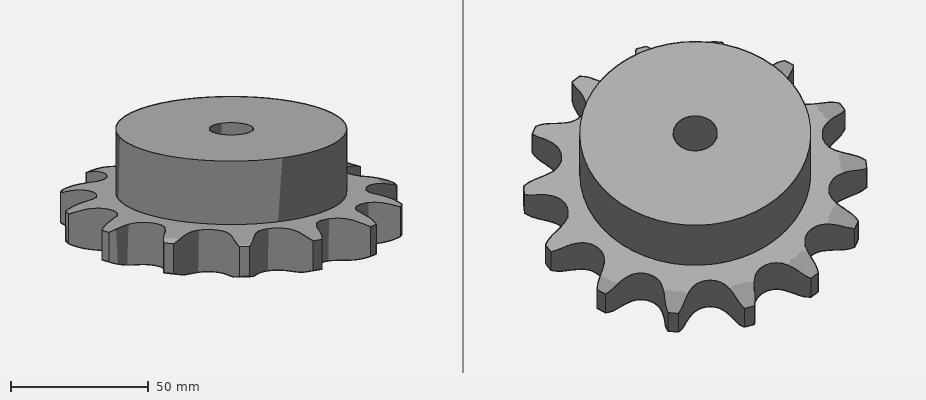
import cadquery as cq
import math


tooth_count = 14
roller_diameter = 15.9
chain_pitch = 1.6 * roller_diameter
seating_clearance = 0.076
tip_diameter = 125.0
rim_width = 16.0
bevel_start_radius = 51.5
tip_bevel_depth = 2.4
hub_diameter = 84.0
total_height = 40.0
bore_diameter = 16.0

tip_radius = tip_diameter / 2
tooth_angle = 360 / tooth_count
half_tooth = math.radians(tooth_angle / 2)
pitch_radius = chain_pitch / 2 / math.sin(half_tooth)


def polar(center, radius, angle):
    """Point at a distance and angle (radians) from a centre."""
    return (center[0] + radius * math.cos(angle), center[1] + radius * math.sin(angle))


def mirrored(point):
    """Reflection of a point across the centre line of the tooth gap."""
    return (-point[0], point[1])


def rim_blank():
    """Disc whose faces curve toward each other near the tooth tips."""
    bevel_reach = tip_radius - bevel_start_radius
    bevel_radius = (bevel_reach**2 + tip_bevel_depth**2) / (2 * tip_bevel_depth)
    half_sweep = math.asin(bevel_reach / bevel_radius) / 2
    mid_radius = bevel_start_radius + bevel_radius * math.sin(half_sweep)
    mid_depth = bevel_radius * (1 - math.cos(half_sweep))
    return (
        cq.Workplane("XZ")
        .lineTo(bevel_start_radius, 0)
        .threePointArc((mid_radius, mid_depth), (tip_radius, tip_bevel_depth))
        .lineTo(tip_radius, rim_width - tip_bevel_depth)
        .threePointArc((mid_radius, rim_width - mid_depth), (bevel_start_radius, rim_width))
        .lineTo(0, rim_width)
        .close()
        .revolve(360, (0, 0, 0), (0, 1, 0))
    )


def tooth_gap():
    """Cutter for one gap, in the ASA roller-chain form, centred on the +Y axis."""
    seating_angle = math.radians(35 + 60 / tooth_count)
    working_angle = math.radians(18 - 56 / tooth_count)
    topping_angle = math.radians(17 - 64 / tooth_count)
    seating_radius = (1.005 * roller_diameter + seating_clearance) / 2
    working_offset = 0.8 * roller_diameter
    working_radius = seating_radius + working_offset
    topping_offset = 1.4 * roller_diameter
    flank_length = topping_offset * math.sin(topping_angle) - working_offset * math.sin(working_angle)
    topping_radius = (
        working_offset * math.cos(working_angle)
        + topping_offset * math.cos(topping_angle)
        - working_radius
    )

    roller_center = (0, pitch_radius)
    working_center = polar(roller_center, working_offset, math.pi - seating_angle)
    topping_center = polar(roller_center, topping_offset, -half_tooth)

    root = polar(roller_center, seating_radius, -math.pi / 2)
    seating_mid = polar(roller_center, seating_radius, -(math.pi / 2 + seating_angle) / 2)
    seating_end = polar(roller_center, seating_radius, -seating_angle)
    working_mid = polar(working_center, working_radius, working_angle / 2 - seating_angle)
    flank_normal = working_angle - seating_angle
    working_end = polar(working_center, working_radius, flank_normal)
    flank_end = polar(working_end, flank_length, flank_normal + math.pi / 2)
    topping_start_angle = math.pi + flank_normal
    tip_sweep = math.acos((topping_offset - chain_pitch / 2) / topping_radius)
    topping_end_angle = math.pi - half_tooth - tip_sweep
    topping_mid = polar(topping_center, topping_radius, (topping_start_angle + topping_end_angle) / 2)
    pointed_tip = polar(topping_center, topping_radius, topping_end_angle)

    return (
        cq.Workplane("XY")
        .moveTo(*root)
        .threePointArc(seating_mid, seating_end)
        .threePointArc(working_mid, working_end)
        .lineTo(*flank_end)
        .threePointArc(topping_mid, pointed_tip)
        .lineTo(*mirrored(pointed_tip))
        .threePointArc(mirrored(topping_mid), mirrored(flank_end))
        .lineTo(*mirrored(working_end))
        .threePointArc(mirrored(working_mid), mirrored(seating_end))
        .threePointArc(mirrored(seating_mid), root)
        .close()
        .extrude(rim_width)
    )


sprocket = rim_blank()
gap = tooth_gap()
for index in range(tooth_count):
    sprocket = sprocket.cut(gap.rotate((0, 0, 0), (0, 0, 1), index * tooth_angle))

hub = cq.Workplane("XY").circle(hub_diameter / 2).extrude(total_height)
sprocket = sprocket.union(hub)

bore = cq.Workplane("XY").circle(bore_diameter / 2).extrude(total_height)
result = sprocket.cut(bore)